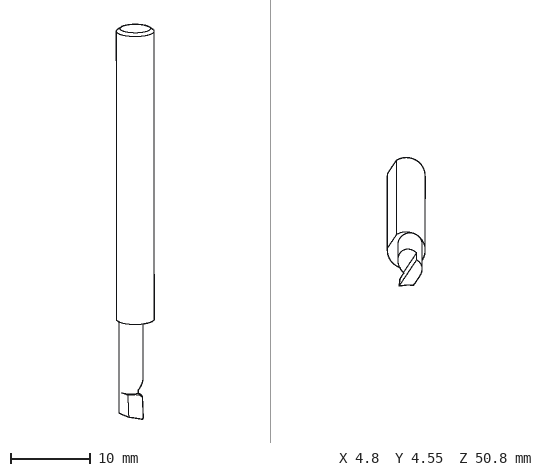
import cadquery as cq

total_length = 50.8
shank_radius = 2.4
shank_bottom = 12.75
flat_y = 2.15
chamfer_inset = 0.45
chamfer_height = 0.35

neck_radius = 1.5
neck_x = neck_radius - shank_radius

rake_y = 0
ramp_bottom = 3.6

tip_top = 3.2
tip_corner_radius = 0.5
tip_corner_x = 1.5
tip_edge_top_x = 1.45
tip_edge_bottom_x = 1.7
relief_break_offset = 0.6
relief_break_y = -0.75
heel_offset = 1.0

end_rise_x = 0.1
end_rise_y = 0.3
nose_height = 0.2

margin = 2.55


def make_shank():
    flat_depth = shank_radius + flat_y
    length = total_length - shank_bottom
    profile = [
        (0, shank_bottom),
        (shank_radius, shank_bottom),
        (shank_radius, total_length - chamfer_height),
        (shank_radius - chamfer_inset, total_length),
        (0, total_length),
    ]
    bar = cq.Workplane("XZ").polyline(profile).close().revolve(360, (0, 0), (0, 1))
    keep = (
        cq.Workplane("XY", origin=(0, -shank_radius, shank_bottom))
        .rect(2 * shank_radius, flat_depth, centered=(True, False))
        .extrude(length)
    )
    return bar.intersect(keep)


def make_neck():
    bar = cq.Workplane("XY").center(neck_x, 0).circle(neck_radius).extrude(shank_bottom)
    rake_cut = (
        cq.Workplane("YZ", origin=(-shank_radius - margin, 0, 0))
        .polyline([
            (rake_y, 0),
            (rake_y, ramp_bottom),
            (rake_y + margin, ramp_bottom + margin),
            (rake_y + margin, 0),
        ])
        .close()
        .extrude(2 * (shank_radius + margin))
    )
    return bar.cut(rake_cut)


def tip_section(edge_x):
    """Tip outline at one height, with the cutting edge at edge_x."""
    return [
        (neck_x, rake_y),
        (neck_x, -neck_radius),
        (edge_x - heel_offset, -neck_radius),
        (edge_x - relief_break_offset, relief_break_y),
        (edge_x, rake_y),
    ]


def make_tip():
    body = (
        cq.Workplane("XY").polyline(tip_section(tip_edge_bottom_x)).close()
        .workplane(offset=tip_top).polyline(tip_section(tip_edge_top_x)).close()
        .loft(ruled=True, combine=True)
    )
    edge_slope = (tip_edge_bottom_x - tip_edge_top_x) / tip_top
    edge_below_corner_x = tip_edge_top_x + edge_slope * tip_corner_radius
    outline = (
        cq.Workplane("XZ")
        .moveTo(neck_x, 0)
        .lineTo(tip_corner_x, 0)
        .lineTo(tip_edge_bottom_x, nose_height)
        .lineTo(edge_below_corner_x, tip_top - tip_corner_radius)
        .radiusArc((tip_edge_top_x - tip_corner_radius, tip_top), -tip_corner_radius)
        .lineTo(neck_x, tip_top)
        .close()
        .extrude(neck_radius)
    )
    return body.intersect(outline)


def end_cutter():
    """Wedge below the sloping end face, which is lowest at the cutting corner."""
    slope_x = end_rise_x / (tip_corner_x + shank_radius)
    slope_y = end_rise_y / neck_radius
    end_plane = cq.Plane(
        origin=(tip_corner_x, rake_y, 0), xDir=(1, 0, -slope_x), normal=(slope_x, slope_y, 1)
    )
    size = 4 * shank_radius
    return cq.Workplane(end_plane).rect(size, size).extrude(-margin)


lower_end = make_neck().union(make_tip()).cut(end_cutter())
result = make_shank().union(lower_end)